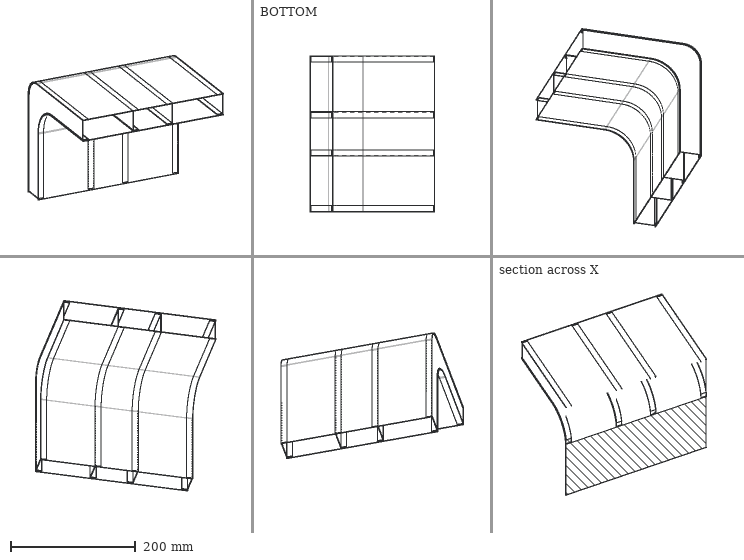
import cadquery as cq
leg_length = 200.0
width = 250.0
shell_depth = 37.0

skin_thickness = 1.0
outer_bend_radius = 30.0
inner_bend_radius = 48.6

sheet_thickness = 1.0
flange_width = 10.0
panel_inset = 2.0
panel_outer_radius = outer_bend_radius
panel_inner_radius = 48.0
rib_distance = 89.5

panel_end = leg_length - panel_inset
cavity_near = skin_thickness
cavity_far = shell_depth - skin_thickness


def bent_band(near, far, near_radius, far_radius, end):
    """L-shaped outline between two offsets from the outer faces, with rounded bends.

    Both legs stop at the distance `end` from the outer corner.
    """
    near_tangent = near + near_radius
    far_tangent = far + far_radius
    return (
        cq.Workplane("XZ")
        .moveTo(near, -end)
        .lineTo(near, -near_tangent)
        .radiusArc((near_tangent, -near), near_radius)
        .lineTo(end, -near)
        .lineTo(end, -far)
        .lineTo(far_tangent, -far)
        .radiusArc((far, -far_tangent), -far_radius)
        .lineTo(far, -end)
        .close()
    )


def make_outer_skin():
    """Sheet on the convex side of the bend."""
    outline = bent_band(
        0.0, skin_thickness, outer_bend_radius, outer_bend_radius - skin_thickness, leg_length
    )
    return outline.extrude(-width)


def make_inner_skin():
    """Sheet on the concave side of the bend, with the same radius on both faces."""
    outline = bent_band(cavity_far, shell_depth, inner_bend_radius, inner_bend_radius, leg_length)
    return outline.extrude(-width)


def make_panel(web_y, direction):
    """Web with a flange along each skin; the flanges run from web_y toward `direction` in Y."""
    front_y = min(web_y, web_y + direction * flange_width)
    body = bent_band(
        cavity_near, cavity_far, panel_outer_radius, panel_inner_radius, panel_end
    ).extrude(-flange_width)

    hollow = bent_band(
        cavity_near + sheet_thickness,
        cavity_far - sheet_thickness,
        panel_outer_radius - sheet_thickness,
        panel_inner_radius + sheet_thickness,
        panel_end,
    ).extrude(-(flange_width - sheet_thickness))
    hollow_start = sheet_thickness if direction > 0 else 0.0
    channel = body.cut(hollow.translate((0, hollow_start, 0)))
    return channel.translate((0, front_y, 0))


outer_skin = make_outer_skin()
inner_skin = make_inner_skin()

panels = []
for distance in (0.0, rib_distance):
    panels.append(make_panel(distance, 1))
    panels.append(make_panel(width - distance, -1))

result = cq.Compound.makeCompound(
    [outer_skin.val(), inner_skin.val(), *[panel.val() for panel in panels]]
)